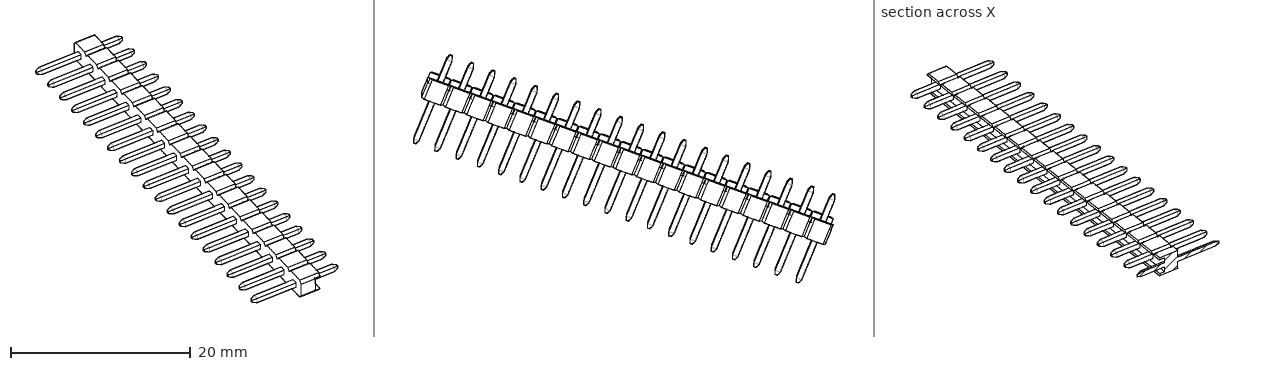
import cadquery as cq

pin_count = 19
pitch = 2.54
strip_length = pin_count * pitch

body_depth = 2.5
body_height = 2.5
cell_chamfer_x = 0.3
cell_chamfer_z = 0.4

channel_depth = 0.65
lip_thickness = 0.35
channel_height = body_height - 2 * lip_thickness

pin_width = 0.64
tip_width = 0.3
tip_length = 0.54
pin_front_reach = 5.65
pin_rear_reach = 3.05
pin_length = pin_front_reach + body_depth + pin_rear_reach
pin_offset_x = -0.1


def cell_centre(index):
    """X position of a cell centre, with the strip centred on X = 0."""
    return (index - (pin_count - 1) / 2) * pitch


def make_cell(centre_x):
    """One octagonal body cell, extruded from the front face to the rear."""
    half_x = pitch / 2
    half_z = body_height / 2
    flat_x = half_x - cell_chamfer_x
    flat_z = half_z - cell_chamfer_z
    outline = [
        (-half_x, -flat_z),
        (-flat_x, -half_z),
        (flat_x, -half_z),
        (half_x, -flat_z),
        (half_x, flat_z),
        (flat_x, half_z),
        (-flat_x, half_z),
        (-half_x, flat_z),
    ]
    cell = cq.Workplane("XZ").polyline(outline).close().extrude(-body_depth)
    return cell.translate((centre_x, 0, 0))


def make_tip(base_y, end_y):
    """Square frustum from the pin section at base_y to the small end at end_y."""
    return (
        cq.Workplane("XZ", origin=(0, base_y, 0))
        .rect(pin_width, pin_width)
        .workplane(offset=base_y - end_y)
        .rect(tip_width, tip_width)
        .loft(ruled=True)
    )


def make_pin(centre_x):
    """Straight square pin through the body, tapered at both ends."""
    front_y = -pin_front_reach
    rear_y = front_y + pin_length
    shank_start = front_y + tip_length
    shank_length = pin_length - 2 * tip_length
    shank = cq.Workplane("XZ", origin=(0, shank_start, 0)).rect(pin_width, pin_width).extrude(-shank_length)
    front_tip = make_tip(shank_start, front_y)
    rear_tip = make_tip(shank_start + shank_length, rear_y)
    return shank.union(front_tip).union(rear_tip).translate((centre_x, 0, 0))


def make_channel():
    """Cutter for the rear channel, running the full length of the strip."""
    channel = cq.Workplane("XY").box(strip_length, channel_depth, channel_height)
    return channel.translate((0, body_depth - channel_depth / 2, 0))


body = make_cell(cell_centre(0))
for index in range(1, pin_count):
    body = body.union(make_cell(cell_centre(index)))
body = body.cut(make_channel())

result = body
for index in range(pin_count):
    result = result.union(make_pin(cell_centre(index) + pin_offset_x))